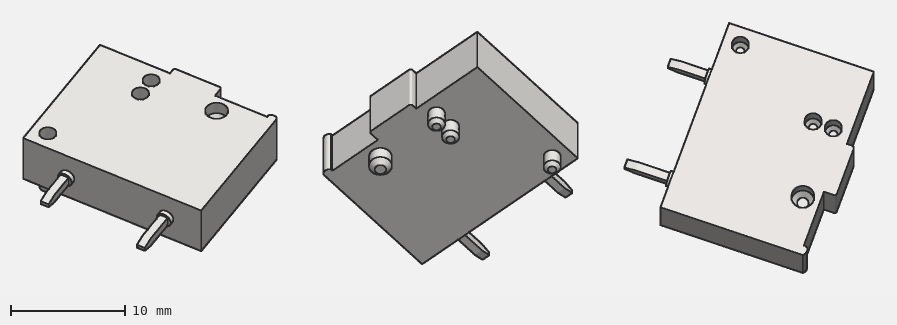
import cadquery as cq

width = 18.0
height = 5.0
left_shoulder_y = 13.43
right_shoulder_y = 13.0

tab_left = 7.07
tab_right = 11.89
tab_y = 14.14
tab_corner_radius = 0.2

bump_width = 0.87
bump_spring_y = 13.22
bump_top_y = left_shoulder_y

small_peg_diameter = 1.5
small_peg_length = 1.85
small_peg_centres = [(1.58, 1.6), (6.1, 9.95), (6.1, 11.83)]
large_peg_diameter = 2.0
large_peg_length = 1.79
large_peg_centre = (12.95, 11.42)

pin_z = height / 2
pin_pitch = 10.0
short_pin_x = 4.48
long_pin_x = short_pin_x + pin_pitch
short_pin_length = 3.98
long_pin_length = 4.46
collar_diameter = 1.41
collar_length = 0.48
blade_width = 0.8
blade_thickness = 0.91
blade_tip_thickness = 0.37
blade_taper_length = 1.0


def make_block():
    bump_left = width - bump_width
    body = (
        cq.Workplane("XY")
        .moveTo(0, 0)
        .lineTo(width, 0)
        .lineTo(width, bump_spring_y)
        .threePointArc((width - bump_width / 2, bump_top_y), (bump_left, bump_spring_y))
        .lineTo(bump_left, right_shoulder_y)
        .lineTo(tab_right, right_shoulder_y)
        .lineTo(tab_right, left_shoulder_y)
        .lineTo(0, left_shoulder_y)
        .close()
        .extrude(height)
    )
    tab = (
        cq.Workplane("XY")
        .box(tab_right - tab_left, tab_y, height, centered=False)
        .edges("|Z and >Y")
        .fillet(tab_corner_radius)
        .translate((tab_left, 0, 0))
    )
    return body.union(tab)


def make_peg(diameter, length, centre, top_z):
    """Vertical peg hanging from top_z, with a 45 degree cone down to half its diameter."""
    tip_diameter = diameter / 2
    tip_chamfer = (diameter - tip_diameter) / 2
    return (
        cq.Workplane("XY", origin=(*centre, top_z))
        .circle(diameter / 2)
        .extrude(-length)
        .faces("<Z")
        .chamfer(tip_chamfer)
    )


def make_contact_pin(x, length):
    """Round collar carrying a rectangular blade that tapers in thickness at its end."""
    collar = (
        cq.Workplane("XZ", origin=(x, 0, pin_z))
        .circle(collar_diameter / 2)
        .extrude(collar_length)
    )
    taper_y = blade_taper_length - length
    blade = (
        cq.Workplane("YZ", origin=(x, 0, pin_z))
        .moveTo(0, blade_thickness / 2)
        .lineTo(taper_y, blade_thickness / 2)
        .lineTo(-length, blade_tip_thickness / 2)
        .lineTo(-length, -blade_tip_thickness / 2)
        .lineTo(taper_y, -blade_thickness / 2)
        .lineTo(0, -blade_thickness / 2)
        .close()
        .extrude(blade_width / 2, both=True)
    )
    return collar.union(blade)


pegs = [(small_peg_diameter, small_peg_length, centre) for centre in small_peg_centres]
pegs.append((large_peg_diameter, large_peg_length, large_peg_centre))

result = make_block()
for diameter, length, centre in pegs:
    result = result.union(make_peg(diameter, length, centre, 0))
    result = result.cut(make_peg(diameter, length, centre, height))

result = result.union(make_contact_pin(short_pin_x, short_pin_length))
result = result.union(make_contact_pin(long_pin_x, long_pin_length))